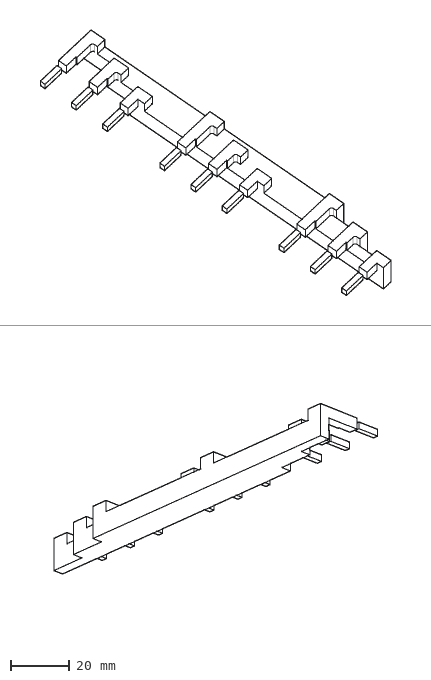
import cadquery as cq

group_count = 3
fingers_per_group = 3
finger_pitch = 14.1
group_pitch = 54.0

bar_height = 8.0
strip_depths = [4.0, 4.0, 4.1]

finger_height = 4.3
finger_reach = 17.2
head_width = 6.5
root_width = 4.3
tip_width = 3.8
front_finger_width = 3.5
corner_radius = 1.0
end_trim = 0.3

pin_width = 2.1
pin_height = 2.5
pin_length = 8.8
pin_gap = 1.4
pin_inset = 0.9

bar_front = -sum(strip_depths)
tip_y = -finger_reach
first_finger_x = -end_trim
last_group_x = (group_count - 1) * group_pitch


def finger_x(group, row):
    """Left side of a finger before the end of the bar is trimmed."""
    return first_finger_x + group * group_pitch + row * finger_pitch


def strip_rear(row):
    """Y of the rear face of a strip."""
    return -sum(strip_depths[:row])


def make_strip(row):
    """Strip running from the first to the last finger of its row."""
    length = last_group_x + head_width
    return (
        cq.Workplane("XY")
        .box(length, strip_depths[row], bar_height, centered=False)
        .translate((finger_x(0, row), strip_rear(row + 1), 0))
    )


def make_finger(group, row):
    """L-shaped finger: a head on the strip and a leg to the tip."""
    left = finger_x(group, row)
    rear = strip_rear(row)
    head_front = strip_rear(row + 1)
    outline = (
        cq.Workplane("XY", origin=(0, 0, bar_height))
        .moveTo(left, rear)
        .lineTo(left + head_width, rear)
        .lineTo(left + head_width, head_front)
    )
    if row < fingers_per_group - 1:
        leg_right = left + root_width
        outline = (
            outline
            .lineTo(leg_right + corner_radius, head_front)
            .radiusArc((leg_right, head_front - corner_radius), -corner_radius)
            .lineTo(leg_right, bar_front)
            .lineTo(left + tip_width, bar_front)
            .lineTo(left + tip_width, tip_y)
        )
    else:
        outline = (
            outline
            .lineTo(left + front_finger_width, head_front)
            .lineTo(left + front_finger_width, tip_y)
        )
    return outline.lineTo(left, tip_y).close().extrude(finger_height)


def make_busbar():
    """Strips and fingers as one body, trimmed flat at X = 0."""
    busbar = make_strip(0)
    for row in range(1, fingers_per_group):
        busbar = busbar.union(make_strip(row))
    for group in range(group_count):
        for row in range(fingers_per_group):
            busbar = busbar.union(make_finger(group, row))
    trim = (
        cq.Workplane("XY")
        .box(end_trim, finger_reach, bar_height + finger_height, centered=False)
        .translate((-end_trim, tip_y, 0))
    )
    return busbar.cut(trim)


def make_pin(group, row):
    """Rectangular pin lying along Y at the mid-height of its finger."""
    return (
        cq.Workplane("XY")
        .box(pin_width, pin_length, pin_height, centered=False)
        .translate((
            finger_x(group, row) + pin_inset,
            tip_y - pin_gap - pin_length,
            bar_height + (finger_height - pin_height) / 2,
        ))
    )


busbar = make_busbar()
pins = [
    make_pin(group, row)
    for group in range(group_count)
    for row in range(fingers_per_group)
]

result = cq.Compound.makeCompound([busbar.val(), *[pin.val() for pin in pins]])